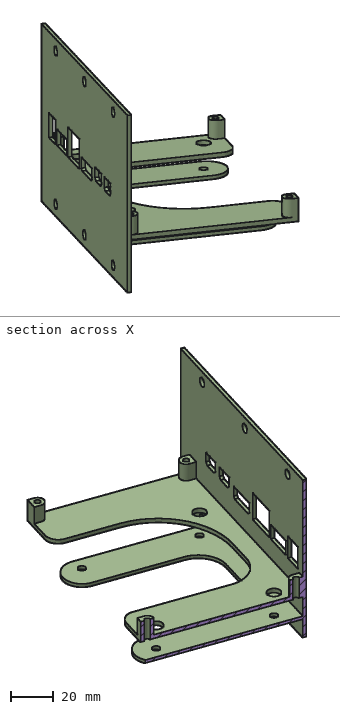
import cadquery as cq

panel_width = 132.3
panel_height = 88.2
panel_thickness = 2.0
screw_pitch_x = 44.0
screw_pitch_z = 76.2
screw_diameter = 4.6

openings = [
    (-54.6, -44.5, -8.5, 3.7, 0),
    (-42.2, -26.9, -8.1, -0.1, 0),
    (-25.3, -8.1, -8.1, 6.7, 0),
    (-4.5, 11.4, -7.5, -1.0, 1.0),
    (16.3, 26.0, -5.3, 1.2, 1.3),
    (30.4, 40.0, -5.3, 1.2, 1.3),
]

back_y = 87.0
mount_left_x = -53.3
mount_right_x = 23.4
mount_front_y = 13.8
mount_back_y = 75.5

upper_left = -63.4
upper_right = 56.9
upper_bottom_z = -21.4
upper_thickness = 2.4
upper_gap_left = -38.1
upper_gap_right = 31.9
upper_gap_front = 12.0
gap_small_radius = 16.3
gap_large_radius = 39.0
arm_corner_radius = 7.0
clearance_diameter = 7.0

post_top_z = -9.8
post_diameter = 7.0
post_radius = post_diameter / 2
post_hole_diameter = 3.0

lower_bottom_z = -33.9
lower_thickness = 2.0
lower_left = upper_left
lower_right = 30.5
lower_arm_width = 20.2
lower_gap_front = 13.9
lower_gap_radius = 14.5
mount_diameter = 4


def box(left, right, front, back, bottom, top):
    size = (right - left, back - front, top - bottom)
    return cq.Workplane("XY").box(*size, centered=False).translate((left, front, bottom))


def upright_cylinders(points, diameter, bottom, top):
    """Vertical cylinders centred on the given XY points."""
    plane = cq.Workplane("XY").workplane(offset=bottom)
    return plane.pushPoints(points).circle(diameter / 2).extrude(top - bottom)


def make_panel():
    half_width = panel_width / 2
    half_height = panel_height / 2
    panel = box(-half_width, half_width, 0, panel_thickness, -half_height, half_height)
    screws = (
        cq.Workplane("XZ")
        .rarray(screw_pitch_x, screw_pitch_z, 3, 2)
        .circle(screw_diameter / 2)
        .extrude(-panel_thickness)
    )
    panel = panel.cut(screws)
    for left, right, bottom, top, chamfer in openings:
        cutter = box(left, right, 0, panel_thickness, bottom, top)
        if chamfer:
            cutter = cutter.edges("|Y and <Z").chamfer(chamfer)
        panel = panel.cut(cutter)
    return panel


def make_post(edge_x, edge_y, inward_x, inward_y):
    """Post rounded on its inner side, flush with the two shelf edges meeting at its corner."""
    x = edge_x + inward_x * post_radius
    y = edge_y + inward_y * post_radius
    barrel = upright_cylinders([(x, y)], post_diameter, upper_bottom_z, post_top_z)
    front, back = sorted((edge_y, y))
    heel = box(x - post_radius, x + post_radius, front, back, upper_bottom_z, post_top_z)
    bore = upright_cylinders([(x, y)], post_hole_diameter, upper_bottom_z, post_top_z)
    return barrel.union(heel), bore


def make_upper_shelf():
    top = upper_bottom_z + upper_thickness
    shelf = box(upper_left, upper_right, panel_thickness, back_y, upper_bottom_z, top)
    gap = box(upper_gap_left, upper_gap_right, upper_gap_front, back_y, upper_bottom_z, top)
    gap = gap.edges("|Z and <Y and <X").fillet(gap_small_radius)
    gap = gap.edges("|Z and >X and <Y").fillet(gap_large_radius)
    shelf = shelf.cut(gap)
    for gap_edge in (upper_gap_left, upper_gap_right):
        corner_point = (gap_edge, back_y, upper_bottom_z + upper_thickness / 2)
        corner = cq.selectors.NearestToPointSelector(corner_point)
        shelf = shelf.edges(corner).fillet(arm_corner_radius)

    clearance_points = [
        (mount_left_x, mount_front_y),
        (mount_right_x, mount_front_y),
        (mount_left_x, mount_back_y),
    ]
    shelf = shelf.cut(upright_cylinders(clearance_points, clearance_diameter, upper_bottom_z, top))
    for edge_x, inward_x in ((upper_left, 1), (upper_right, -1)):
        for edge_y, inward_y in ((panel_thickness, 1), (back_y, -1)):
            post, bore = make_post(edge_x, edge_y, inward_x, inward_y)
            shelf = shelf.union(post).cut(bore)
    return shelf


def make_lower_shelf():
    top = lower_bottom_z + lower_thickness
    gap_left = lower_left + lower_arm_width
    gap_right = lower_right - lower_arm_width
    arm_radius = lower_arm_width / 2
    arm_end_y = back_y - arm_radius

    shelf = box(lower_left, lower_right, panel_thickness, arm_end_y, lower_bottom_z, top)
    gap = box(gap_left, gap_right, lower_gap_front, back_y, lower_bottom_z, top)
    shelf = shelf.cut(gap.edges("|Z and <Y").fillet(lower_gap_radius))
    arm_ends = [(lower_left + arm_radius, arm_end_y), (lower_right - arm_radius, arm_end_y)]
    shelf = shelf.union(upright_cylinders(arm_ends, lower_arm_width, lower_bottom_z, top))

    mounts = [(x, y) for x in (mount_left_x, mount_right_x) for y in (mount_front_y, mount_back_y)]
    return shelf.cut(upright_cylinders(mounts, mount_diameter, lower_bottom_z, top))


result = make_panel().union(make_upper_shelf()).union(make_lower_shelf())